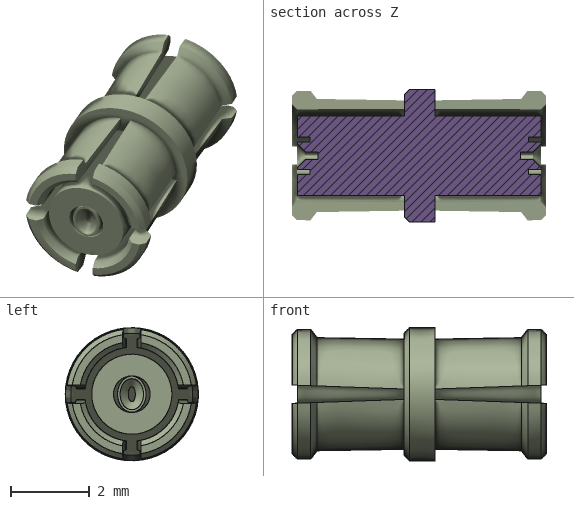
import cadquery as cq

length = 6.45
collar_diameter = 3.38
collar_start = 2.84
collar_end = 3.625
collar_chamfer = 0.14

lip_radius = 1.66
lip_chamfer = 0.13
lip_flat_end = 0.47
lip_slope_end = 0.63
finger_tip_radius = 1.45
finger_root_radius = 1.405
bore_radius = 1.195
bore_chamfer = 0.135
slot_tip_width = 0.465
slot_root_width = 0.265
slot_angles = (0, 90)

core_diameter = 2.03
core_inset = 0.13
socket_diameter = 0.93
socket_depth = 0.32
tube_width = 0.72
tube_height = 0.915
tube_wall = 0.065
funnel_depth = 0.205
contact_hole_depth = 0.515


def outward_end(feature, at_far_end):
    """Leave a feature at the X = 0 end, or mirror it to the far end."""
    if not at_far_end:
        return feature
    return feature.mirror("YZ").translate((length, 0, 0))


def make_finger_sleeve(root_position):
    """Flared sleeve running from the open end at X = 0 to the collar."""
    profile = [
        (0, bore_radius + bore_chamfer),
        (0, lip_radius - lip_chamfer),
        (lip_chamfer, lip_radius),
        (lip_flat_end, lip_radius),
        (lip_slope_end, finger_tip_radius),
        (root_position, finger_root_radius),
        (root_position, bore_radius),
        (bore_chamfer, bore_radius),
    ]
    return cq.Workplane("XY").polyline(profile).close().revolve(360, (0, 0, 0), (1, 0, 0))


def make_slot(root_position, angle):
    """Tapered slot across the whole sleeve, narrowing towards the collar."""
    outline = [
        (0, -slot_tip_width / 2),
        (root_position, -slot_root_width / 2),
        (root_position, slot_root_width / 2),
        (0, slot_tip_width / 2),
    ]
    slot = cq.Workplane("XY").polyline(outline).close().extrude(collar_diameter / 2, both=True)
    return slot.rotate((0, 0, 0), (1, 0, 0), angle)


def make_fingers(root_position):
    fingers = make_finger_sleeve(root_position)
    for angle in slot_angles:
        fingers = fingers.cut(make_slot(root_position, angle))
    return fingers


def ellipse_at(depth, width, height):
    """Ellipse normal to X at a depth below the end face of the core."""
    plane = cq.Workplane("YZ", origin=(core_inset + depth, 0, 0))
    return plane.ellipse(width / 2, height / 2)


def make_socket_cut():
    """Ring-shaped gap around an oval tube, with a funnel and hole inside the tube."""
    gap = cq.Workplane("YZ", origin=(core_inset, 0, 0)).circle(socket_diameter / 2).extrude(socket_depth)
    gap = gap.cut(ellipse_at(0, tube_width, tube_height).extrude(socket_depth))

    mouth_width = tube_width - 2 * tube_wall
    mouth_height = tube_height - 2 * tube_wall
    hole_width = mouth_width - 2 * funnel_depth
    hole_height = mouth_height - 2 * funnel_depth
    funnel = (
        ellipse_at(0, mouth_width, mouth_height)
        .workplane(offset=funnel_depth)
        .ellipse(hole_width / 2, hole_height / 2)
        .loft(ruled=True)
    )
    hole = ellipse_at(funnel_depth, hole_width, hole_height).extrude(contact_hole_depth - funnel_depth)
    return gap.union(funnel).union(hole)


collar = (
    cq.Workplane("YZ", origin=(collar_start, 0, 0))
    .circle(collar_diameter / 2)
    .extrude(collar_end - collar_start)
    .faces("<X")
    .chamfer(collar_chamfer)
)
core = (
    cq.Workplane("YZ", origin=(core_inset, 0, 0))
    .circle(core_diameter / 2)
    .extrude(length - 2 * core_inset)
)

result = collar.union(core)
for at_far_end in (False, True):
    root = length - collar_end if at_far_end else collar_start
    result = result.union(outward_end(make_fingers(root), at_far_end))
    result = result.cut(outward_end(make_socket_cut(), at_far_end))